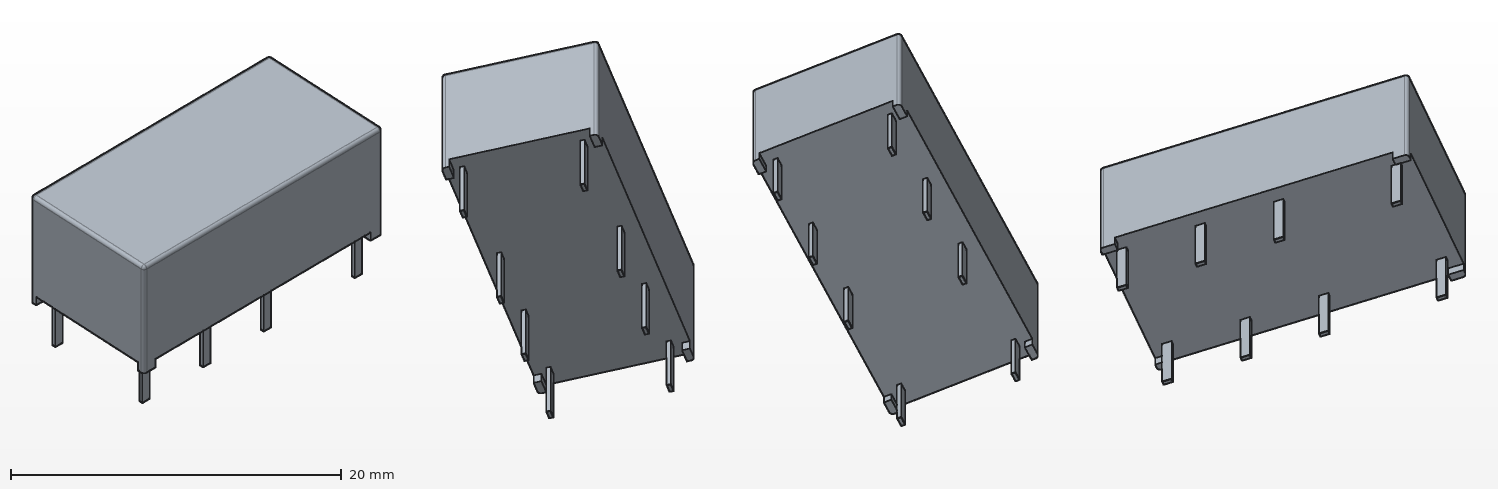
import cadquery as cq

body_width = 9.9
body_length = 20.0
body_height = 8.2
edge_radius = 0.25
foot_width = 0.5
foot_length = 1.0
foot_height = 0.65

total_height = 11.35
pin_thickness = 0.28
pin_width = 0.62
pin_tip_chamfer = 0.025
pin_pitch = 5.08
row_spacing = 1.5 * pin_pitch

pin_steps = (0, 1, 2, 3.5)

pattern_offset_x = 0.08
pattern_offset_y = -0.02

row_length = pin_steps[-1] * pin_pitch
pin_tip_z = body_height - total_height
pin_length = foot_height - pin_tip_z


def make_housing():
    """Rounded box with the underside cut away in a cross, leaving the feet."""
    housing = (
        cq.Workplane("XY")
        .box(body_width, body_length, body_height, centered=(True, True, False))
        .edges("|Z or >Z")
        .fillet(edge_radius)
    )
    gap_across = body_width - 2 * foot_width
    gap_along = body_length - 2 * foot_length
    for size_x, size_y in ((gap_across, body_length), (body_width, gap_along)):
        gap = cq.Workplane("XY").box(size_x, size_y, foot_height, centered=(True, True, False))
        housing = housing.cut(gap)
    return housing


def make_pin(x, y):
    """Flat pin with a chamfered tip, reaching up to the raised underside."""
    return (
        cq.Workplane("XY")
        .box(pin_thickness, pin_width, pin_length, centered=(True, True, False))
        .faces("<Z")
        .edges()
        .chamfer(pin_tip_chamfer)
        .translate((x, y, pin_tip_z))
    )


result = make_housing()
for row_side in (-1, 1):
    pin_x = pattern_offset_x + row_side * row_spacing / 2
    for step in pin_steps:
        pin_y = pattern_offset_y - row_length / 2 + step * pin_pitch
        result = result.union(make_pin(pin_x, pin_y))